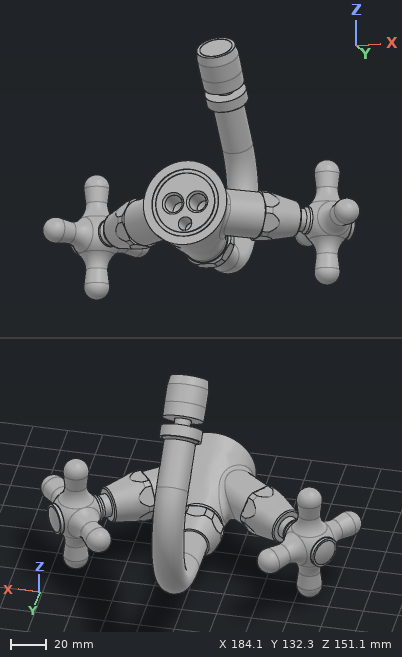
import cadquery as cq
import math


FLANGE_RADIUS = 24.3
FLANGE_Z = 2.2
NECK_RADIUS = 13.0
SPOUT_Z = -9.2
BODY_LENGTH = 38.5
FACE_GROOVE_OUTER_RADIUS = 19.3
FACE_GROOVE_INNER_RADIUS = 17.1
FACE_GROOVE_DEPTH = 1.0

INLET_X = 7.0
INLET_RADIUS = 5.0
INLET_MOUTH_RADIUS = 6.3
INLET_DEPTH = 18.4
SCREW_HOLE_Z = FLANGE_Z - 12.1
SCREW_HOLE_RADIUS = 3.9
SCREW_HOLE_DEPTH = 14.7
DRILL_TIP_HALF_ANGLE = 59.0

BRANCH_ANGLE = 38.0
BRANCH_ORIGIN_Y = 4.8
BRANCH_RADIUS = 13.0
BRANCH_START = 11.0
BRANCH_FILLET = 3.7
BONNET_START = 42.0
BONNET_END = 65.5
BONNET_RADIUS = 14.3
BONNET_TIP_RADIUS = 10.3
BONNET_STRAIGHT = 4.0
BONNET_CHAMFER = 0.7
BONNET_FLAT_APOTHEM = 13.2

HUB_CENTRE = 85.0
HUB_RADIUS = 14.2
STEM_RADIUS = 6.6
STEM_COLLAR_RADIUS = 7.7
STEM_COLLAR_END = 13.2
STEM_CONE_END = 15.0
CAP_SEAT = 11.4
CAP_RADIUS = 8.8
CAP_EDGE = 13.6
CAP_DOME_RADIUS = 7.5
CAP_DOME_HEIGHT = 1.5
ARM_COUNT = 4
ARM_BALL_RADIUS = 7.4
ARM_BALL_CENTRE = 28.7
ARM_TAPER_END = 27.8
ARM_WAIST_RADIUS = 6.3
ARM_ROOT_ANGLE = 45.0

NUT_START = 41.5
NUT_CONE_START = 50.2
NUT_END = 60.0
NUT_RADIUS = 14.9
NUT_TIP_RADIUS = 10.1
NUT_CHAMFER = 1.3
NUT_FLAT_APOTHEM = 14.0

TUBE_RADIUS = 9.0
BEND_RADIUS = 41.5
BEND_START_Y = 81.8
BEND_ANGLE = 135.0
COLLAR_RADIUS = 12.0
COLLAR_CONE_START = 27.5
COLLAR_START = 29.0
COLLAR_END = 35.7
HEAD_NECK_RADIUS = 4.8
HEAD_START = 40.6
HEAD_BAND_START = 48.5
HEAD_TAPER_START = 58.8
HEAD_END = 64.4
HEAD_BASE_RADIUS = 11.8
HEAD_TIP_RADIUS = 11.0
OUTLET_RADIUS = 9.2
OUTLET_DEPTH = 0.2

FLAT_COUNT = 6


def turned(outline):
    """Revolve a closed (position, radius) outline sketched in XY about the X axis."""
    return outline.close().revolve(360, (0, 0, 0), (1, 0, 0))


def along_y(solid, x, y, z):
    """Turn a solid built along +X to point along +Y and move its origin to (x, y, z)."""
    return solid.rotate((0, 0, 0), (0, 0, 1), 90).translate((x, y, z))


def flat_prism(start, end, apothem):
    """Six-sided prism along +X with one flat facing +Z."""
    width = 2 * apothem / math.cos(math.pi / FLAT_COUNT)
    return cq.Workplane("YZ", origin=(start, 0, 0)).polygon(FLAT_COUNT, width).extrude(end - start)


def blind_hole(radius, depth):
    """Drilled hole along +X with a conical tip."""
    tip = radius / math.tan(math.radians(DRILL_TIP_HALF_ANGLE))
    return turned(cq.Workplane("XY").lineTo(0, radius).lineTo(depth, radius).lineTo(depth + tip, 0))


def countersink(radius):
    """45 degree cone along +X, widest at the origin."""
    return turned(cq.Workplane("XY").lineTo(0, radius).lineTo(radius, 0))


def place_on_branch(solid):
    """Swing a solid built along +X onto the right-hand handle axis."""
    return solid.rotate((0, 0, 0), (0, 0, 1), BRANCH_ANGLE).translate((0, BRANCH_ORIGIN_Y, 0))


def make_body():
    """Tapered body leaning from the round flange down to the spout neck, with two branches."""
    body = (
        cq.Workplane("XZ")
        .center(0, FLANGE_Z)
        .circle(FLANGE_RADIUS)
        .workplane(offset=-BODY_LENGTH)
        .center(0, SPOUT_Z - FLANGE_Z)
        .circle(NECK_RADIUS)
        .loft(ruled=True)
    )
    branch = (
        cq.Workplane("YZ", origin=(BRANCH_START, 0, 0))
        .circle(BRANCH_RADIUS)
        .extrude(BONNET_START - BRANCH_START)
    )
    branch = place_on_branch(branch)
    body = body.union(branch).union(branch.mirror("YZ"))
    joints = [edge for edge in body.edges().vals() if edge.geomType() not in ("CIRCLE", "LINE")]
    return body.newObject(joints).fillet(BRANCH_FILLET)


def make_bonnet():
    """Tapered bonnet with six wrench flats around its base."""
    cone_start = BONNET_START + BONNET_STRAIGHT
    bonnet = turned(
        cq.Workplane("XY")
        .moveTo(BONNET_START, 0)
        .lineTo(BONNET_START, BONNET_RADIUS)
        .lineTo(cone_start, BONNET_RADIUS)
        .lineTo(BONNET_END - BONNET_CHAMFER, BONNET_TIP_RADIUS)
        .lineTo(BONNET_END, BONNET_TIP_RADIUS - BONNET_CHAMFER)
        .lineTo(BONNET_END, 0)
    )
    return bonnet.intersect(flat_prism(BONNET_START, BONNET_END, BONNET_FLAT_APOTHEM))


def make_arm():
    """Handle arm along +X: root flaring tangentially out of the hub sphere, waist and ball end."""
    root_angle = math.radians(ARM_ROOT_ANGLE)
    root = HUB_RADIUS * math.cos(root_angle)
    root_radius = HUB_RADIUS * math.sin(root_angle)
    turn = math.pi / 2 - root_angle
    flare = (root_radius - ARM_WAIST_RADIUS) / (1 - math.cos(turn))
    waist = root + flare * math.sin(turn)
    flare_mid = waist - flare * math.sin(turn / 2)
    flare_mid_radius = ARM_WAIST_RADIUS + flare * (1 - math.cos(turn / 2))
    ball_radius_at_taper = math.sqrt(ARM_BALL_RADIUS**2 - (ARM_BALL_CENTRE - ARM_TAPER_END) ** 2)
    return turned(
        cq.Workplane("XY")
        .lineTo(root, root_radius)
        .threePointArc((flare_mid, flare_mid_radius), (waist, ARM_WAIST_RADIUS))
        .lineTo(ARM_TAPER_END, ball_radius_at_taper)
        .threePointArc((ARM_BALL_CENTRE, ARM_BALL_RADIUS), (ARM_BALL_CENTRE + ARM_BALL_RADIUS, 0))
    )


def make_handle():
    """Stem, ball hub, domed cap and four arms, built around the hub centre."""
    seat_radius = math.sqrt(HUB_RADIUS**2 - CAP_SEAT**2)
    collar_start = -math.sqrt(HUB_RADIUS**2 - STEM_COLLAR_RADIUS**2)
    dome_top = CAP_EDGE + CAP_DOME_HEIGHT
    dome_sphere = (CAP_DOME_RADIUS**2 + CAP_DOME_HEIGHT**2) / (2 * CAP_DOME_HEIGHT)
    stem_start = BONNET_END - HUB_CENTRE
    handle = turned(
        cq.Workplane("XY")
        .moveTo(stem_start, 0)
        .lineTo(stem_start, STEM_RADIUS)
        .lineTo(-STEM_CONE_END, STEM_RADIUS)
        .lineTo(-STEM_COLLAR_END, STEM_COLLAR_RADIUS)
        .lineTo(collar_start, STEM_COLLAR_RADIUS)
        .threePointArc((0, HUB_RADIUS), (CAP_SEAT, seat_radius))
        .lineTo(CAP_SEAT, CAP_RADIUS)
        .lineTo(CAP_EDGE, CAP_RADIUS)
        .lineTo(CAP_EDGE, CAP_DOME_RADIUS)
        .radiusArc((dome_top, 0), dome_sphere)
    )
    arm = make_arm().rotate((0, 0, 0), (0, 0, 1), 90)
    for index in range(ARM_COUNT):
        handle = handle.union(arm.rotate((0, 0, 0), (1, 0, 0), 360 / ARM_COUNT * index))
    return handle.translate((HUB_CENTRE, 0, 0))


def make_nut():
    """Neck and union nut that hold the spout, along +X from the end of the body."""
    nut = turned(
        cq.Workplane("XY")
        .moveTo(NUT_START, 0)
        .lineTo(NUT_START, NUT_RADIUS - NUT_CHAMFER)
        .lineTo(NUT_START + NUT_CHAMFER, NUT_RADIUS)
        .lineTo(NUT_CONE_START, NUT_RADIUS)
        .lineTo(NUT_END, NUT_TIP_RADIUS)
        .lineTo(NUT_END, 0)
    )
    nut = nut.intersect(flat_prism(NUT_START, NUT_END, NUT_FLAT_APOTHEM))
    neck = (
        cq.Workplane("YZ", origin=(BODY_LENGTH, 0, 0))
        .circle(NECK_RADIUS)
        .extrude(NUT_START - BODY_LENGTH)
    )
    return along_y(nut.union(neck), 0, 0, SPOUT_Z)


def make_spout():
    """Bent tube with a collar and an outlet head on its inclined end."""
    bend = math.radians(BEND_ANGLE)
    bend_centre_z = SPOUT_Z + BEND_RADIUS
    bend_end_y = BEND_START_Y + BEND_RADIUS * math.sin(bend)
    bend_end_z = bend_centre_z - BEND_RADIUS * math.cos(bend)
    bend_mid_y = BEND_START_Y + BEND_RADIUS * math.sin(bend / 2)
    bend_mid_z = bend_centre_z - BEND_RADIUS * math.cos(bend / 2)
    path = (
        cq.Workplane("YZ")
        .moveTo(NUT_END, SPOUT_Z)
        .lineTo(BEND_START_Y, SPOUT_Z)
        .threePointArc((bend_mid_y, bend_mid_z), (bend_end_y, bend_end_z))
    )
    tube = (
        cq.Workplane("XZ", origin=(0, NUT_END, 0))
        .center(0, SPOUT_Z)
        .circle(TUBE_RADIUS)
        .sweep(path)
    )
    cone_radius = TUBE_RADIUS + COLLAR_START - COLLAR_CONE_START
    head = turned(
        cq.Workplane("XY")
        .lineTo(0, TUBE_RADIUS)
        .lineTo(COLLAR_CONE_START, TUBE_RADIUS)
        .lineTo(COLLAR_START, cone_radius)
        .lineTo(COLLAR_START, COLLAR_RADIUS)
        .lineTo(COLLAR_END, COLLAR_RADIUS)
        .lineTo(COLLAR_END, HEAD_NECK_RADIUS)
        .lineTo(HEAD_START, HEAD_NECK_RADIUS)
        .lineTo(HEAD_START, HEAD_BASE_RADIUS)
        .lineTo(HEAD_BAND_START, COLLAR_RADIUS)
        .lineTo(HEAD_TAPER_START, COLLAR_RADIUS)
        .lineTo(HEAD_END, HEAD_TIP_RADIUS)
        .lineTo(HEAD_END, OUTLET_RADIUS)
        .lineTo(HEAD_END - OUTLET_DEPTH, OUTLET_RADIUS)
        .lineTo(HEAD_END - OUTLET_DEPTH, 0)
    )
    head = along_y(head, 0, 0, 0).rotate((0, 0, 0), (1, 0, 0), BEND_ANGLE)
    return tube.union(head.translate((0, bend_end_y, bend_end_z)))


def make_face_cuts():
    """Ring groove, two inlet holes and one screw hole in the mounting face."""
    cuts = (
        cq.Workplane("XZ")
        .center(0, FLANGE_Z)
        .circle(FACE_GROOVE_OUTER_RADIUS)
        .circle(FACE_GROOVE_INNER_RADIUS)
        .extrude(-FACE_GROOVE_DEPTH)
    )
    inlet = blind_hole(INLET_RADIUS, INLET_DEPTH).union(countersink(INLET_MOUTH_RADIUS))
    for side in (-1, 1):
        cuts = cuts.union(along_y(inlet, side * INLET_X, 0, FLANGE_Z))
    screw_hole = blind_hole(SCREW_HOLE_RADIUS, SCREW_HOLE_DEPTH)
    return cuts.union(along_y(screw_hole, 0, 0, SCREW_HOLE_Z))


valve = place_on_branch(make_bonnet().union(make_handle()))
result = (
    make_body()
    .union(valve)
    .union(valve.mirror("YZ"))
    .union(make_nut())
    .union(make_spout())
    .cut(make_face_cuts())
)